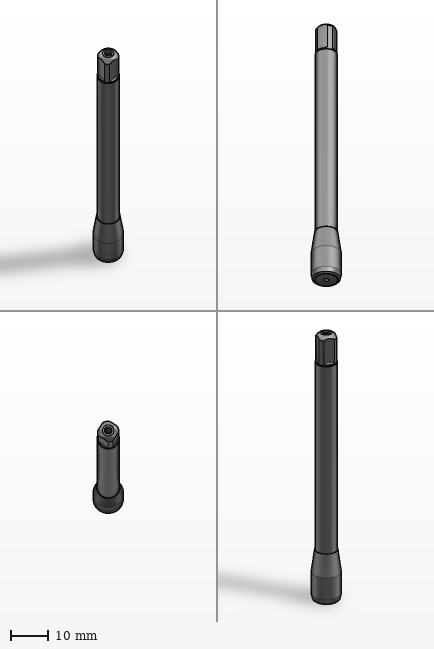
import cadquery as cq

LENGTH = 80.0

SHAFT_DIAMETER = 6.0
SHOULDER_Z = 71.2
SHOULDER_CHAMFER_HEIGHT = 0.2
BORE_DIAMETER = 1.4
BORE_MOUTH_DIAMETER = 2.0

DRIVE_DIAMETER = 5.8
DRIVE_ACROSS_FLATS = 5.0
FLAT_START_Z = 71.7
TIP_FACE_DIAMETER = 3.0
TIP_ROUND_HEIGHT = 1.2
TIP_ROUND_BULGE = 0.2
FLAT_COUNT = 4

COLLAR_DIAMETER = 8.2
COLLAR_HEIGHT = 15.0
COLLAR_TOP_DIAMETER = 6.3
TAPER_START_Z = 8.3
NOSE_HEIGHT = 1.8
NOSE_EDGE_Z = 0.4
NOSE_EDGE_DIAMETER = 7.5
NOSE_FACE_DIAMETER = 6.6

shaft_radius = SHAFT_DIAMETER / 2
drive_radius = DRIVE_DIAMETER / 2
bore_radius = BORE_DIAMETER / 2
mouth_radius = BORE_MOUTH_DIAMETER / 2
mouth_depth = mouth_radius - bore_radius


def make_flat_cutter():
    """Block outside one drive flat, with a rounded run-out at its lower end."""
    flat_distance = DRIVE_ACROSS_FLATS / 2
    outer_reach = SHAFT_DIAMETER
    runout_radius = drive_radius - flat_distance
    return (
        cq.Workplane("XZ")
        .moveTo(flat_distance, FLAT_START_Z + runout_radius)
        .radiusArc((drive_radius, FLAT_START_Z), -runout_radius)
        .lineTo(outer_reach, FLAT_START_Z)
        .lineTo(outer_reach, LENGTH)
        .lineTo(flat_distance, LENGTH)
        .close()
        .extrude(shaft_radius, both=True)
    )


def make_shaft():
    """Bored shaft with a domed square drive on top."""
    tip_radius = TIP_FACE_DIAMETER / 2
    round_start_z = LENGTH - TIP_ROUND_HEIGHT
    shaft = (
        cq.Workplane("XZ")
        .moveTo(bore_radius, 0)
        .lineTo(shaft_radius, 0)
        .lineTo(shaft_radius, SHOULDER_Z)
        .lineTo(drive_radius, SHOULDER_Z + SHOULDER_CHAMFER_HEIGHT)
        .lineTo(drive_radius, round_start_z)
        .sagittaArc((tip_radius, LENGTH), -TIP_ROUND_BULGE)
        .lineTo(mouth_radius, LENGTH)
        .lineTo(bore_radius, LENGTH - mouth_depth)
        .close()
        .revolve(360, (0, 0), (0, 1))
    )
    cutter = make_flat_cutter()
    for index in range(FLAT_COUNT):
        angle = index * 360 / FLAT_COUNT
        shaft = shaft.cut(cutter.rotate((0, 0, 0), (0, 0, 1), angle))
    return shaft


def make_collar():
    """Tapered sleeve with a bevelled nose, bored to fit the shaft."""
    collar_radius = COLLAR_DIAMETER / 2
    return (
        cq.Workplane("XZ")
        .moveTo(shaft_radius, 0)
        .lineTo(NOSE_FACE_DIAMETER / 2, 0)
        .lineTo(NOSE_EDGE_DIAMETER / 2, NOSE_EDGE_Z)
        .lineTo(collar_radius, NOSE_HEIGHT)
        .lineTo(collar_radius, TAPER_START_Z)
        .lineTo(COLLAR_TOP_DIAMETER / 2, COLLAR_HEIGHT)
        .lineTo(shaft_radius, COLLAR_HEIGHT)
        .close()
        .revolve(360, (0, 0), (0, 1))
    )


shaft = make_shaft()
collar = make_collar()

result = cq.Compound.makeCompound([shaft.val(), collar.val()])